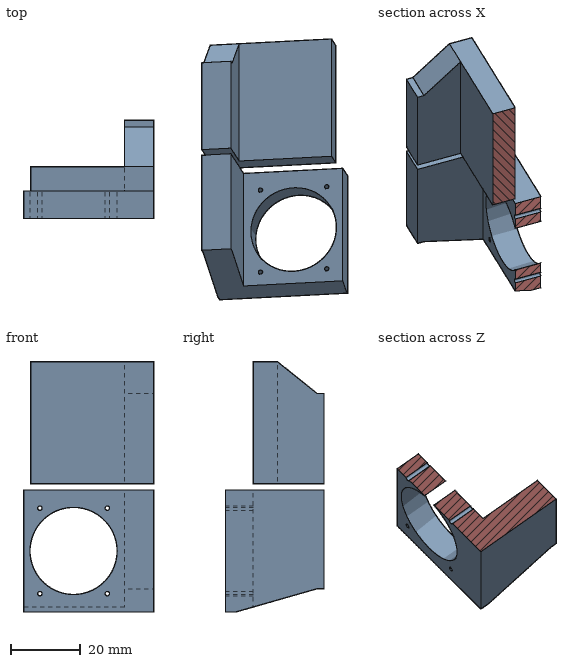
import cadquery as cq

total_height = 72.07
body_height = 35.2
arm_width = 8.5
arm_back_y = 28.4
arm_land = 2.0

base_width = 37.5
base_thickness = 8.0
base_bevel_start_y = 3.0
base_bevel_rise = 6.7

bore_diameter = 25.0
bore_edge_margin = 1.88
bore_x = bore_edge_margin + bore_diameter / 2
bore_z = body_height / 2
screw_hole_diameter = 1.22
screw_pitch_x = 19.4
screw_pitch_z = 24.6

lid_width = 35.5
lid_thickness = 7.0
lid_front_y = base_thickness
lid_back_y = lid_front_y + lid_thickness
lid_bottom_z = total_height - body_height
lid_bevel_drop = 9.15

arm_x = base_width - arm_width
lid_x = base_width - lid_width
bevel_end_y = arm_back_y - arm_land


def side_prism(profile, start_x, width):
    """Extrude a closed (y, z) profile along +X from start_x."""
    return cq.Workplane("YZ", origin=(start_x, 0, 0)).polyline(profile).close().extrude(width)


def box_from(x, y, z, width, depth, height):
    """Box given by its minimum corner and its sizes along X, Y and Z."""
    return cq.Workplane("XY").box(width, depth, height, centered=False).translate((x, y, z))


def make_base():
    """Bored plate and arm whose common underside is bevelled up toward the back."""
    profile = [
        (0, 0),
        (base_bevel_start_y, 0),
        (bevel_end_y, base_bevel_rise),
        (arm_back_y, base_bevel_rise),
        (arm_back_y, body_height),
        (0, body_height),
    ]
    body = side_prism(profile, 0, base_width)

    behind_plate = box_from(0, base_thickness, 0, arm_x, arm_back_y - base_thickness, body_height)
    body = body.cut(behind_plate)

    hole_plane = cq.Workplane("XZ", origin=(bore_x, 0, bore_z))
    bore = hole_plane.circle(bore_diameter / 2).extrude(-base_thickness)
    screw_holes = (
        hole_plane.rect(screw_pitch_x, screw_pitch_z, forConstruction=True)
        .vertices()
        .circle(screw_hole_diameter / 2)
        .extrude(-base_thickness)
    )
    return body.cut(bore).cut(screw_holes)


def make_lid():
    """Plain plate and an arm whose top slopes down toward the back."""
    plate = box_from(lid_x, lid_front_y, lid_bottom_z, lid_width, lid_thickness, body_height)
    arm_profile = [
        (lid_front_y, lid_bottom_z),
        (arm_back_y, lid_bottom_z),
        (arm_back_y, total_height - lid_bevel_drop),
        (bevel_end_y, total_height - lid_bevel_drop),
        (lid_back_y, total_height),
        (lid_front_y, total_height),
    ]
    return plate.union(side_prism(arm_profile, arm_x, arm_width))


base = make_base()
lid = make_lid()

result = cq.Compound.makeCompound([base.val(), lid.val()])